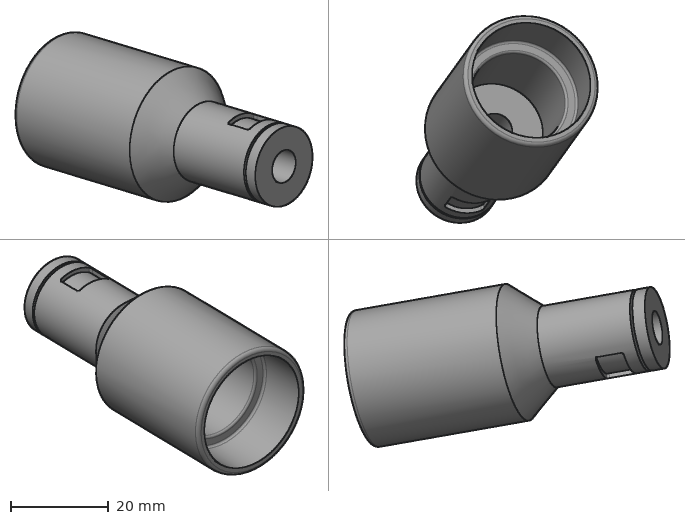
import cadquery as cq

length = 63.0
body_diameter = 28.5
body_length = 32.9
cone_length = 7.0
shank_diameter = 17.0
rim_fillet = 0.8

entry_bore_diameter = 25.0
entry_bore_depth = 11.0
inner_bore_diameter = 20.0
inner_bore_depth = 30.0
through_hole_diameter = 7.0
bore_step_fillet = 0.5

groove_diameter = 12.8
groove_width = 0.55
end_collar_length = 2.65

pocket_floor_diameter = 15.0
pocket_length = 6.05
pocket_width = 8.2
pocket_end_distance = 6.05
pocket_corner_radius = 0.5


def cylinder(diameter, start, depth):
    """Solid cylinder on the X axis, growing toward +X from start."""
    return cq.Workplane("YZ", origin=(start, 0, 0)).circle(diameter / 2).extrude(depth)


def make_outside():
    body_radius = body_diameter / 2
    shank_radius = shank_diameter / 2
    profile = (
        cq.Workplane("XZ")
        .lineTo(0, body_radius)
        .lineTo(body_length, body_radius)
        .lineTo(body_length + cone_length, shank_radius)
        .lineTo(length, shank_radius)
        .lineTo(length, 0)
        .close()
    )
    outside = profile.revolve(360, (0, 0, 0), (1, 0, 0))
    return outside.faces("<X").edges().fillet(rim_fillet)


def make_bore():
    """Stepped bore with the concave and convex corners of its shoulder rounded."""
    entry = cylinder(entry_bore_diameter, 0, entry_bore_depth)
    inner = cylinder(inner_bore_diameter, 0, inner_bore_depth)
    stepped = entry.union(inner)
    shoulder_plane = cq.selectors.BoxSelector(
        (entry_bore_depth - bore_step_fillet, -body_diameter, -body_diameter),
        (entry_bore_depth + bore_step_fillet, body_diameter, body_diameter),
    )
    stepped = stepped.edges("%CIRCLE").edges(shoulder_plane).fillet(bore_step_fillet)
    return stepped.union(cylinder(through_hole_diameter, 0, length))


def make_groove():
    start = length - end_collar_length - groove_width
    ring = cylinder(shank_diameter, start, groove_width)
    return ring.cut(cylinder(groove_diameter, start, groove_width))


def make_pockets():
    """Rounded rectangle crossing the shank, less the core that forms both floors."""
    start = length - pocket_end_distance - pocket_length
    center = start + pocket_length / 2
    cutter = (
        cq.Workplane("XY", origin=(center, 0, 0))
        .rect(pocket_length, pocket_width)
        .extrude(shank_diameter / 2, both=True)
        .edges("|Z")
        .fillet(pocket_corner_radius)
    )
    return cutter.cut(cylinder(pocket_floor_diameter, start, pocket_length))


result = make_outside().cut(make_bore()).cut(make_groove()).cut(make_pockets())